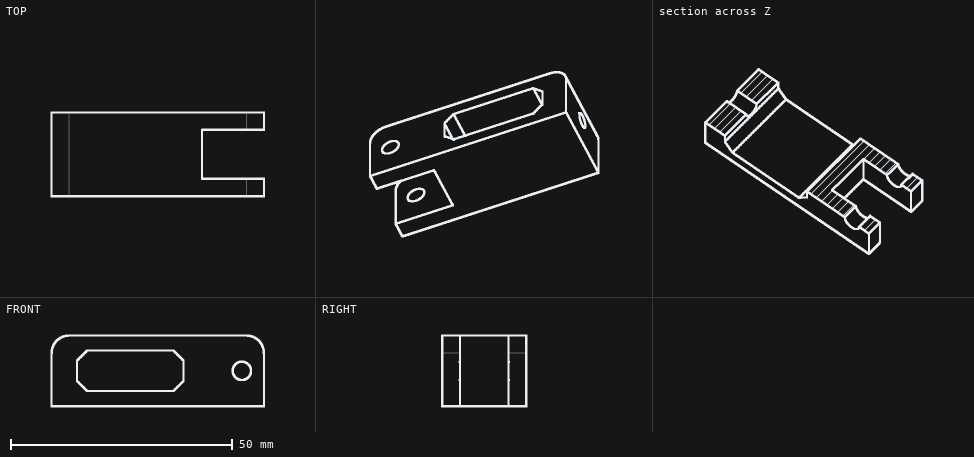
import cadquery as cq

length = 48.0
width = 19.0
height = 16.0
corner_radius = 4.0
mid_height = height / 2

slot_width = 11.0
slot_depth = 14.0
pivot_diameter = 4.1
pivot_end_distance = 5.0

window_length = 24.0
window_height = 9.1
window_chamfer = 2.25
end_wall = 5.8

end_hole_diameter = 3.6


def make_body():
    """Block with its two upper end edges rounded."""
    block = cq.Workplane("XY").box(length, width, height, centered=(False, True, False))
    return block.edges("|Y and >Z").fillet(corner_radius)


def make_fork_slot():
    """Full-height slot between the two fork arms."""
    return (
        cq.Workplane("XY")
        .box(slot_depth, slot_width, height, centered=(False, True, False))
        .translate((length - slot_depth, 0, 0))
    )


def make_window():
    """Eight-sided opening across the full width."""
    return (
        cq.Workplane("XY")
        .box(window_length, width, window_height)
        .edges("|Y")
        .chamfer(window_chamfer)
        .translate((end_wall + window_length / 2, 0, mid_height))
    )


def make_pivot_hole():
    """Cross hole through both fork arms."""
    return (
        cq.Workplane("XZ")
        .center(length - pivot_end_distance, mid_height)
        .circle(pivot_diameter / 2)
        .extrude(width / 2, both=True)
    )


def make_end_hole():
    """Lengthwise hole from the -X face, ending inside the window."""
    hole_length = end_wall + window_length / 2
    return (
        cq.Workplane("YZ")
        .center(0, mid_height)
        .circle(end_hole_diameter / 2)
        .extrude(hole_length)
    )


result = (
    make_body()
    .cut(make_fork_slot())
    .cut(make_window())
    .cut(make_pivot_hole())
    .cut(make_end_hole())
)